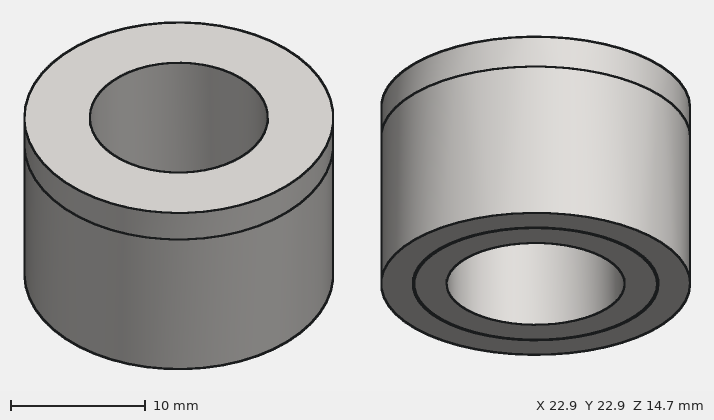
import cadquery as cq

outer_diameter = 22.9
total_height = 14.7
flange_thickness = 2.5
bore_diameter = 13.2
sleeve_diameter = 18.0
housing_bore_diameter = 18.2

housing_height = total_height - flange_thickness


def make_housing():
    """Plain outer ring that the flange rests on, with clearance around the sleeve."""
    return (
        cq.Workplane("XY")
        .circle(outer_diameter / 2)
        .circle(housing_bore_diameter / 2)
        .extrude(housing_height)
    )


def make_flanged_bushing():
    """Top flange and the sleeve that lines the housing, with one bore through both."""
    sleeve = cq.Workplane("XY").circle(sleeve_diameter / 2).extrude(total_height)
    flange = (
        cq.Workplane("XY")
        .workplane(offset=housing_height)
        .circle(outer_diameter / 2)
        .extrude(flange_thickness)
    )
    bore = cq.Workplane("XY").circle(bore_diameter / 2).extrude(total_height)
    return sleeve.union(flange).cut(bore)


housing = make_housing()
flanged_bushing = make_flanged_bushing()

result = cq.Compound.makeCompound([housing.val(), flanged_bushing.val()])